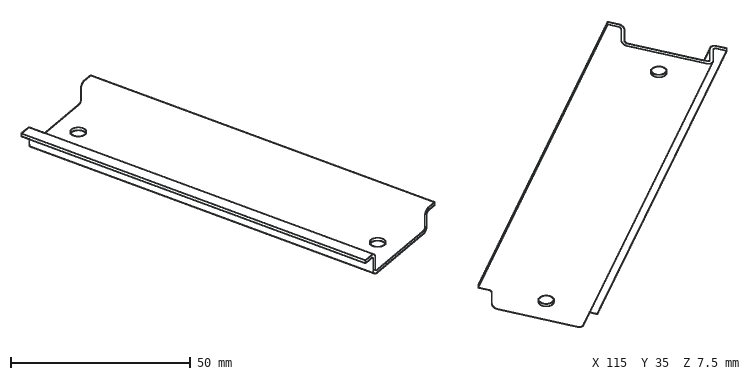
import cadquery as cq

length = 115.0
width = 35.0
height = 7.5

sheet = 1.0
channel_width = 27.0
inner_bend = 0.8
outer_bend = inner_bend + sheet

hole_diameter = 4.5
hole_spacing = 100.0


def rail_section():
    """Top-hat section in the YZ plane, bottom of the channel at Z = 0."""
    edge = width / 2
    wall_outer = channel_width / 2
    wall_inner = wall_outer - sheet
    flange_bottom = height - sheet
    return (
        cq.Workplane("YZ")
        .polyline([
            (-edge, height),
            (-wall_inner, height),
            (-wall_inner, sheet),
            (wall_inner, sheet),
            (wall_inner, height),
            (edge, height),
            (edge, flange_bottom),
            (wall_outer, flange_bottom),
            (wall_outer, 0),
            (-wall_outer, 0),
            (-wall_outer, flange_bottom),
            (-edge, flange_bottom),
        ])
        .close()
    )


def round_bends(body):
    """Round both faces of the sheet at each bend about a common centre."""
    wall_outer = channel_width / 2
    wall_inner = wall_outer - sheet
    margin = sheet / 4
    bends = [
        (wall_outer, 0, outer_bend),
        (wall_inner, sheet, inner_bend),
        (wall_inner, height, outer_bend),
        (wall_outer, height - sheet, inner_bend),
    ]
    for y, z, radius in bends:
        for side in (-1, 1):
            corner = cq.selectors.BoxSelector(
                (-length, side * y - margin, z - margin),
                (length, side * y + margin, z + margin),
            )
            body = body.edges("|X").edges(corner).fillet(radius)
    return body


rail = round_bends(rail_section().extrude(length / 2, both=True))

holes = (
    cq.Workplane("XY")
    .pushPoints([(-hole_spacing / 2, 0), (hole_spacing / 2, 0)])
    .circle(hole_diameter / 2)
    .extrude(height)
)

result = rail.cut(holes)